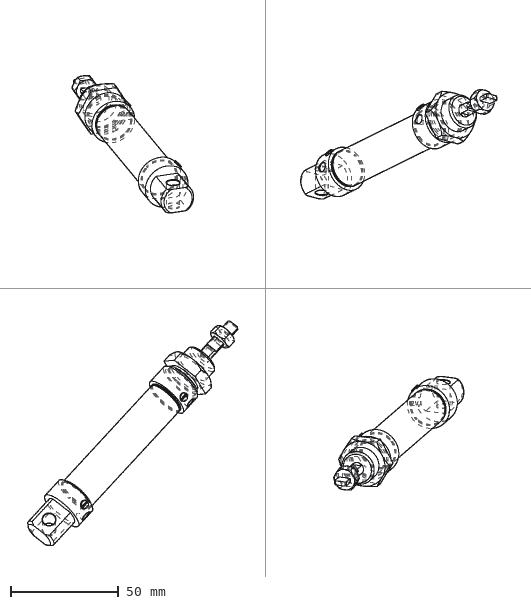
import cadquery as cq
import math

TOTAL_LENGTH = 139.0

ROD_DIAMETER = 6.0
ROD_LENGTH = 22.0
ROD_TIP_CHAMFER = 0.5
BLADE_LENGTH = 16.0
BLADE_THICKNESS = 2.0
WRENCH_FLAT_THICKNESS = 4.0
FLAT_RUNOUT_LENGTH = 1.0

ROD_NUT_START = 5.5
ROD_NUT_THICKNESS = 5.0
ROD_NUT_ACROSS_FLATS = 10.0

BOSS_DIAMETER = 16.0
BOSS_CHAMFER = 1.0
MOUNT_NUT_START = ROD_LENGTH + 7.0
MOUNT_NUT_THICKNESS = 6.0
MOUNT_NUT_ACROSS_FLATS = 22.0
SHOULDER_DIAMETER = 18.0
SHOULDER_LENGTH = 1.5

COLLAR_DIAMETER = 21.0
COLLAR_LENGTH = 10.0
FRONT_COLLAR_START = ROD_LENGTH + 16.0
FRONT_COLLAR_END = FRONT_COLLAR_START + COLLAR_LENGTH
TUBE_DIAMETER = 17.5
GROOVE_DEPTH = 0.5
GROOVE_WIDTH = 0.6
GROOVE_TO_COLLAR = 0.4

CLEVIS_DIAMETER = 16.0
CLEVIS_LENGTH = 16.0
CLEVIS_THICKNESS = 12.0
CLEVIS_CHAMFER = 1.1
CLEVIS_HOLE_DIAMETER = 6.0
CLEVIS_HOLE_CHAMFER = 0.25
CLEVIS_HOLE_TO_END = 7.0
REAR_COLLAR_END = TOTAL_LENGTH - CLEVIS_LENGTH
REAR_COLLAR_START = REAR_COLLAR_END - COLLAR_LENGTH

PORT_DIAMETER = 4.13
PORT_MOUTH_DIAMETER = 5.0
PORT_DEPTH = 4.0

SCREW_DIAMETER = 4.0
SCREW_PROTRUSION = 0.5
SCREW_TILT = 48.0
SCREW_TO_COLLAR_EDGE = 3.0
SCREW_SLOT_WIDTH = 0.6
SCREW_SLOT_DEPTH = 0.5


def cylinder(start, end, diameter):
    return cq.Workplane("YZ", origin=(start, 0, 0)).circle(diameter / 2).extrude(end - start)


def chamfered_hex(start, thickness, across_flats, both_ends):
    """Hexagonal prism with two flats facing +-Z and its corners turned to 45 degrees."""
    corner_radius = across_flats / math.sqrt(3)
    chamfer = corner_radius - across_flats / 2
    prism = (
        cq.Workplane("YZ", origin=(start, 0, 0))
        .polygon(6, 2 * corner_radius)
        .extrude(thickness)
    )
    turning = cylinder(start, start + thickness, 2 * corner_radius)
    turning = turning.faces("<X or >X" if both_ends else "<X").chamfer(chamfer)
    return prism.intersect(turning)


def make_rod():
    rod = cylinder(0, ROD_LENGTH, ROD_DIAMETER).faces("<X").chamfer(ROD_TIP_CHAMFER)
    radius = ROD_DIAMETER / 2
    upper_side = [
        (0, BLADE_THICKNESS / 2),
        (BLADE_LENGTH, BLADE_THICKNESS / 2),
        (BLADE_LENGTH, WRENCH_FLAT_THICKNESS / 2),
        (ROD_LENGTH - FLAT_RUNOUT_LENGTH, WRENCH_FLAT_THICKNESS / 2),
        (ROD_LENGTH, radius),
    ]
    lower_side = [(x, -z) for x, z in reversed(upper_side)]
    side_profile = (
        cq.Workplane("XZ").polyline(upper_side + lower_side).close().extrude(radius, both=True)
    )
    nut = chamfered_hex(ROD_NUT_START, ROD_NUT_THICKNESS, ROD_NUT_ACROSS_FLATS, True)
    return rod.intersect(side_profile).union(nut)


def make_clevis():
    clevis = cylinder(REAR_COLLAR_END, TOTAL_LENGTH, CLEVIS_DIAMETER).faces(">X").chamfer(CLEVIS_CHAMFER)
    middle = (REAR_COLLAR_END + TOTAL_LENGTH) / 2
    slab = cq.Workplane("XY", origin=(middle, 0, 0)).box(CLEVIS_LENGTH, CLEVIS_DIAMETER, CLEVIS_THICKNESS)
    clevis = clevis.intersect(slab)
    clevis = (
        clevis.faces(">Z").workplane(origin=(TOTAL_LENGTH - CLEVIS_HOLE_TO_END, 0, 0))
        .hole(CLEVIS_HOLE_DIAMETER)
    )
    return clevis.faces("<Z or >Z").edges("%CIRCLE").chamfer(CLEVIS_HOLE_CHAMFER)


def make_groove_cutter(start):
    """Ring with a V section that is cut into the tube surface."""
    radius = TUBE_DIAMETER / 2
    outer_radius = COLLAR_DIAMETER / 2
    section = [
        (start, outer_radius),
        (start, radius),
        (start + GROOVE_WIDTH / 2, radius - GROOVE_DEPTH),
        (start + GROOVE_WIDTH, radius),
        (start + GROOVE_WIDTH, outer_radius),
    ]
    return cq.Workplane("XY").polyline(section).close().revolve(360, (0, 0, 0), (1, 0, 0))


def make_port_cutter(x):
    """Hole drilled into a collar from the +Y side, with a 45 degree countersink at its mouth."""
    mouth = COLLAR_DIAMETER / 2
    countersink = (PORT_MOUTH_DIAMETER - PORT_DIAMETER) / 2
    half_section = [
        (x, mouth - PORT_DEPTH),
        (x + PORT_DIAMETER / 2, mouth - PORT_DEPTH),
        (x + PORT_DIAMETER / 2, mouth - countersink),
        (x + PORT_MOUTH_DIAMETER / 2, mouth),
        (x, mouth),
    ]
    return cq.Workplane("XY").polyline(half_section).close().revolve(360, (x, 0, 0), (x, 1, 0))


def make_cushion_screw(x):
    """Screw along a collar radius, with a slot across its head that runs along X."""
    head = COLLAR_DIAMETER / 2 + SCREW_PROTRUSION
    root = COLLAR_DIAMETER / 4
    screw = cq.Workplane("XY", origin=(x, 0, root)).circle(SCREW_DIAMETER / 2).extrude(head - root)
    slot = (
        cq.Workplane("XY", origin=(x, 0, head - SCREW_SLOT_DEPTH))
        .rect(SCREW_DIAMETER, SCREW_SLOT_WIDTH)
        .extrude(SCREW_SLOT_DEPTH)
    )
    return screw.cut(slot).rotate((0, 0, 0), (1, 0, 0), -SCREW_TILT)


def make_housing():
    boss = cylinder(ROD_LENGTH, FRONT_COLLAR_START, BOSS_DIAMETER).faces("<X").chamfer(BOSS_CHAMFER)
    housing = boss.union(chamfered_hex(MOUNT_NUT_START, MOUNT_NUT_THICKNESS, MOUNT_NUT_ACROSS_FLATS, False))
    turned_sections = [
        (FRONT_COLLAR_START - SHOULDER_LENGTH, FRONT_COLLAR_START, SHOULDER_DIAMETER),
        (FRONT_COLLAR_START, FRONT_COLLAR_END, COLLAR_DIAMETER),
        (FRONT_COLLAR_END, REAR_COLLAR_START, TUBE_DIAMETER),
        (REAR_COLLAR_START, REAR_COLLAR_END, COLLAR_DIAMETER),
    ]
    for start, end, diameter in turned_sections:
        housing = housing.union(cylinder(start, end, diameter))
    housing = housing.union(make_clevis())
    for start in (FRONT_COLLAR_END + GROOVE_TO_COLLAR, REAR_COLLAR_START - GROOVE_TO_COLLAR - GROOVE_WIDTH):
        housing = housing.cut(make_groove_cutter(start))

    for x in (FRONT_COLLAR_END - SCREW_TO_COLLAR_EDGE, REAR_COLLAR_START + SCREW_TO_COLLAR_EDGE):
        housing = housing.union(make_cushion_screw(x))
    for collar_start in (FRONT_COLLAR_START, REAR_COLLAR_START):
        housing = housing.cut(make_port_cutter(collar_start + COLLAR_LENGTH / 2))
    return housing


housing = make_housing()
rod = make_rod()
result = cq.Compound.makeCompound([housing.val(), rod.val()])